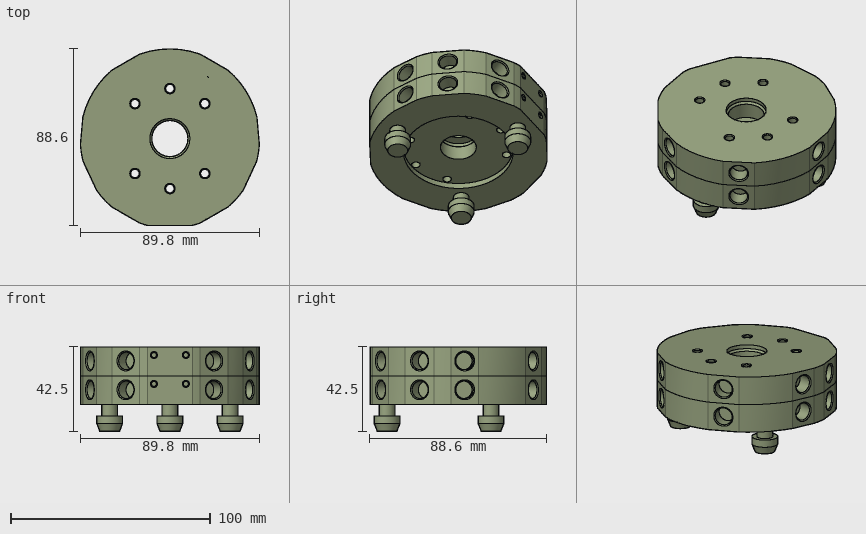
import cadquery as cq
import math

PLATE_RADIUS = 45.0
PLATE_THICKNESS = 14.5
FRONT_FLAT_DISTANCE = 43.55
FRONT_FLAT_ANGLE = 270

SOCKET_FLAT_DISTANCE = 44.3
SIDE_FLAT_DISTANCE = 44.45
SOCKET_FLATS = [
    (120, SOCKET_FLAT_DISTANCE),
    (175, SIDE_FLAT_DISTANCE),
    (205, SOCKET_FLAT_DISTANCE),
    (240, SOCKET_FLAT_DISTANCE),
]
SOCKET_DIAMETER = 8.8
SOCKET_DEPTH = 8.0
SOCKET_DROP = 7.0
SOCKET_RIM_DIAMETER = 10.0

FRONT_HOLE_DIAMETER = 2.5
FRONT_HOLE_RIM_DIAMETER = 3.5
FRONT_HOLE_DEPTH = 8.0
FRONT_HOLE_X = 8.0
FRONT_HOLE_DROP = 4.0

BORE_DIAMETER = 18
MOUTH_DIAMETER = 20.0
MOUTH_DEPTH = 2.0
SHOULDER_HEIGHT = (MOUTH_DIAMETER - BORE_DIAMETER) / 2
RECESS_DIAMETER = 55.0
RECESS_DEPTH = 3.2

BOLT_HOLE_OUTER_Y = 25.05
BOLT_HOLE_CORNER = 17.5
BOLT_HOLE_DIAMETER = 4.2
BOLT_HOLE_RIM_DIAMETER = 5.2
BOLT_HOLE_CENTERS = [
    (0, BOLT_HOLE_OUTER_Y),
    (0, -BOLT_HOLE_OUTER_Y),
    (BOLT_HOLE_CORNER, BOLT_HOLE_CORNER),
    (-BOLT_HOLE_CORNER, BOLT_HOLE_CORNER),
    (-BOLT_HOLE_CORNER, -BOLT_HOLE_CORNER),
    (BOLT_HOLE_CORNER, -BOLT_HOLE_CORNER),
]

FRONT_FOOT_Y = -35.0
REAR_FOOT_X = 30.2
REAR_FOOT_Y = 17.1
FOOT_CENTERS = [
    (0, FRONT_FOOT_Y),
    (REAR_FOOT_X, REAR_FOOT_Y),
    (-REAR_FOOT_X, REAR_FOOT_Y),
]
FOOT_POST_DIAMETER = 8.0
FOOT_POST_LENGTH = 5.7
FOOT_HEAD_DIAMETER = 13.0
FOOT_HEAD_LENGTH = 3.8
FOOT_TIP_DIAMETER = 10.0
FOOT_TIP_LENGTH = 3.95


def chamfered_hole(mouth, inward, diameter, rim_diameter, depth):
    """Cutter for a hole whose mouth has a 45 degree chamfer."""
    radius = diameter / 2
    chamfer = (rim_diameter - diameter) / 2
    drill = cq.Solid.makeCylinder(radius, depth, mouth, inward)
    countersink = cq.Solid.makeCone(rim_diameter / 2, radius, chamfer, mouth, inward)
    return cq.Workplane(drill).union(cq.Workplane(countersink))


def revolve_profile(profile):
    """Turn a closed outline of (radius, z) points about the Z axis."""
    return cq.Workplane("XZ").polyline(profile).close().revolve(360, (0, 0, 0), (0, 1, 0))


def point_at(radius, angle, z):
    """Point at a distance and direction from the plate axis."""
    turn = math.radians(angle)
    return cq.Vector(radius * math.cos(turn), radius * math.sin(turn), z)


def cut_flat(plate, angle, distance):
    """Slice the rim off square to the given direction."""
    waste = (
        cq.Workplane("XY")
        .box(PLATE_RADIUS, 2 * PLATE_RADIUS, PLATE_THICKNESS, centered=(False, True, False))
        .translate((distance, 0, 0))
        .rotate((0, 0, 0), (0, 0, 1), angle)
    )
    return plate.cut(waste)


def cut_socket(plate, angle, distance):
    """Flatten the rim and bore a blind radial socket into the flat."""
    plate = cut_flat(plate, angle, distance)
    mouth = point_at(distance, angle, PLATE_THICKNESS - SOCKET_DROP)
    inward = point_at(-1, angle, 0)
    return plate.cut(chamfered_hole(mouth, inward, SOCKET_DIAMETER, SOCKET_RIM_DIAMETER, SOCKET_DEPTH))


def make_bore_cutter():
    """Turned shape of the stepped bore and the recess below it."""
    mouth_bottom = PLATE_THICKNESS - MOUTH_DEPTH
    profile = [
        (0, 0),
        (RECESS_DIAMETER / 2, 0),
        (RECESS_DIAMETER / 2, RECESS_DEPTH),
        (BORE_DIAMETER / 2, RECESS_DEPTH),
        (BORE_DIAMETER / 2, mouth_bottom - SHOULDER_HEIGHT),
        (MOUTH_DIAMETER / 2, mouth_bottom),
        (MOUTH_DIAMETER / 2, PLATE_THICKNESS),
        (0, PLATE_THICKNESS),
    ]
    return revolve_profile(profile)


def make_plate():
    """Round plate with its underside at z = 0."""
    plate = cq.Workplane("XY").circle(PLATE_RADIUS).extrude(PLATE_THICKNESS)

    for angle, distance in SOCKET_FLATS:
        plate = cut_socket(plate, angle, distance)
        plate = cut_socket(plate, 180 - angle, distance)

    plate = cut_flat(plate, FRONT_FLAT_ANGLE, FRONT_FLAT_DISTANCE)
    for x in (-FRONT_HOLE_X, FRONT_HOLE_X):
        mouth = cq.Vector(x, -FRONT_FLAT_DISTANCE, PLATE_THICKNESS - FRONT_HOLE_DROP)
        inward = cq.Vector(0, 1, 0)
        plate = plate.cut(
            chamfered_hole(mouth, inward, FRONT_HOLE_DIAMETER, FRONT_HOLE_RIM_DIAMETER, FRONT_HOLE_DEPTH)
        )

    plate = plate.cut(make_bore_cutter())

    down = cq.Vector(0, 0, -1)
    for x, y in BOLT_HOLE_CENTERS:
        mouth = cq.Vector(x, y, PLATE_THICKNESS)
        plate = plate.cut(
            chamfered_hole(mouth, down, BOLT_HOLE_DIAMETER, BOLT_HOLE_RIM_DIAMETER, PLATE_THICKNESS)
        )
    return plate


def make_foot():
    """Foot hanging below z = 0: a post, a wider head and a tapered tip."""
    head_top = -FOOT_POST_LENGTH
    head_bottom = head_top - FOOT_HEAD_LENGTH
    tip_bottom = head_bottom - FOOT_TIP_LENGTH
    profile = [
        (0, 0),
        (FOOT_POST_DIAMETER / 2, 0),
        (FOOT_POST_DIAMETER / 2, head_top),
        (FOOT_HEAD_DIAMETER / 2, head_top),
        (FOOT_HEAD_DIAMETER / 2, head_bottom),
        (FOOT_TIP_DIAMETER / 2, tip_bottom),
        (0, tip_bottom),
    ]
    return revolve_profile(profile)


def make_lower_plate():
    """Plate with the three feet formed on its underside."""
    lower_plate = make_plate()
    for x, y in FOOT_CENTERS:
        lower_plate = lower_plate.union(make_foot().translate((x, y, 0)))
    return lower_plate


lower_plate = make_lower_plate()
upper_plate = make_plate().translate((0, 0, PLATE_THICKNESS))

result = cq.Compound.makeCompound([lower_plate.val(), upper_plate.val()])